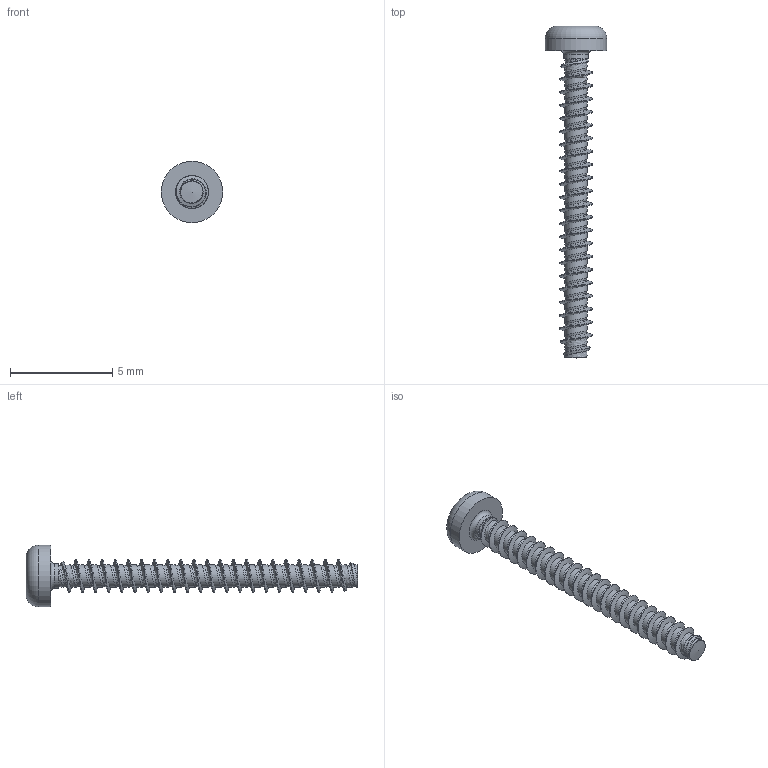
import cadquery as cq
import math


head_radius = 1.5
head_height = 1.2
head_edge_radius = head_height / 2

neck_radius = 0.6
neck_fillet = 0.2
neck_end = -0.4

shank_length = 15.0
core_radius = 0.515
tip_radius = 0.55
tip_cone_height = 0.04

pitch = 0.641
crest_radius = 0.8
land_radius = 0.545
buried_radius = 0.5
crest_half_width = 0.015
land_start = 0.08
land_end = 0.36
land_slope_end = 0.52
buried_upper_width = 0.095
crest_reference_height = -13.89

upper_fade_radius = 0.595
upper_fade_length = 0.53
lower_fade_length = 0.85
fade_margin = 0.1


def revolve_about_axis(outline):
    """Full revolution of a closed outline about the screw axis."""
    return outline.close().revolve(360, (0, 0), (0, 1))


def make_head_and_neck():
    """Pan head with rounded edge and filleted neck."""
    diagonal = math.sqrt(0.5)
    edge_x = head_radius - head_edge_radius
    edge_z = head_height - head_edge_radius
    edge_middle = (edge_x + head_edge_radius * diagonal, edge_z + head_edge_radius * diagonal)
    fillet_x = neck_radius + neck_fillet
    fillet_z = -neck_fillet
    fillet_middle = (fillet_x - neck_fillet * diagonal, fillet_z + neck_fillet * diagonal)
    outline = (
        cq.Workplane("XZ")
        .moveTo(0, head_height)
        .lineTo(edge_x, head_height)
        .threePointArc(edge_middle, (head_radius, edge_z))
        .lineTo(head_radius, 0)
        .lineTo(fillet_x, 0)
        .threePointArc(fillet_middle, (neck_radius, fillet_z))
        .lineTo(neck_radius, neck_end)
        .lineTo(0, neck_end)
    )
    return revolve_about_axis(outline)


def make_endless_thread():
    """Core with a right-hand ridge, both longer than the threaded length."""
    turns_below = math.ceil((crest_reference_height + shank_length) / pitch) + 1
    turns_above = math.ceil((neck_end - crest_reference_height) / pitch)
    bottom = crest_reference_height - turns_below * pitch
    length = (turns_below + turns_above) * pitch
    helix = cq.Wire.makeHelix(pitch, length, core_radius).translate(cq.Vector(0, 0, bottom))
    profile = [
        (buried_radius, bottom - land_slope_end),
        (land_radius, bottom - land_end),
        (land_radius, bottom - land_start),
        (crest_radius, bottom - crest_half_width),
        (crest_radius, bottom + crest_half_width),
        (buried_radius, bottom + buried_upper_width),
    ]
    section = cq.Workplane("XZ").polyline(profile).close()
    ridge = section.sweep(cq.Workplane("XY").newObject([helix]), isFrenet=True)
    core = (
        cq.Workplane("XY")
        .workplane(offset=bottom - pitch)
        .circle(core_radius)
        .extrude(length + 2 * pitch)
    )
    return core.union(ridge)


def make_shank_envelope():
    """Solid of revolution that trims the thread: blunt tip, fade cones and a clear middle."""
    outer_radius = crest_radius + fade_margin
    tip_edge = tip_cone_height - shank_length
    lower_stretch = (outer_radius - tip_radius) / (crest_radius - tip_radius)
    upper_stretch = (outer_radius - upper_fade_radius) / (crest_radius - upper_fade_radius)
    outline = cq.Workplane("XZ").polyline(
        [
            (0, -shank_length),
            (tip_radius, tip_edge),
            (outer_radius, tip_edge + lower_fade_length * lower_stretch),
            (outer_radius, neck_end - upper_fade_length * upper_stretch),
            (upper_fade_radius, neck_end),
            (0, neck_end),
        ]
    )
    return revolve_about_axis(outline)


shank = make_endless_thread().intersect(make_shank_envelope())
screw = make_head_and_neck().union(shank)
result = screw.rotate((0, 0, 0), (1, 0, 0), -90)